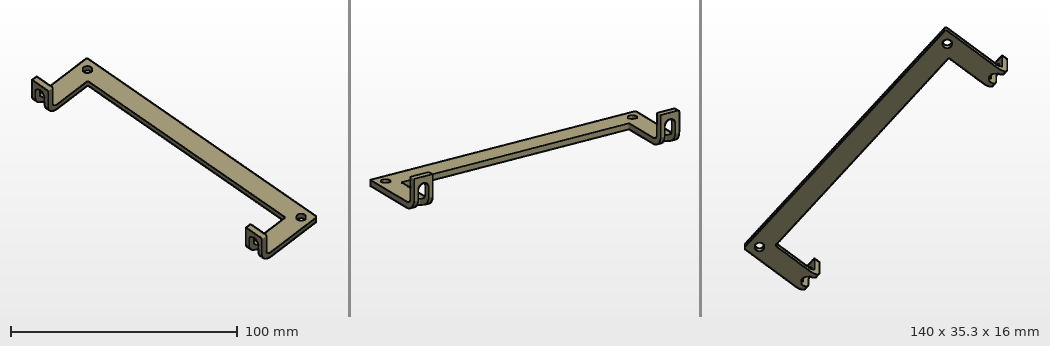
import cadquery as cq

length = 140.0
depth = 35.3
height = 16.0
thickness = 3.0
strip_width = 10.0
bend_inner_radius = 3.0
hole_diameter = 4.2
slot_width = 5.5
slot_top = 12.7
right_corner_radius = 1.0
small_corner_radius = 0.4
inner_corner_radius = 0.5

bend_outer_radius = bend_inner_radius + thickness
half_length = length / 2
arm_center = half_length - strip_width / 2
opening_length = length - 2 * strip_width
bar_front = depth - strip_width
hole_y = depth - strip_width / 2


def bent_sheet():
    """L-shaped sheet spanning the full length, with the lip along y = 0."""
    sheet = (
        cq.Workplane("YZ")
        .moveTo(0, 0)
        .lineTo(depth, 0)
        .lineTo(depth, thickness)
        .lineTo(thickness, thickness)
        .lineTo(thickness, height)
        .lineTo(0, height)
        .close()
        .extrude(half_length, both=True)
    )
    sheet = sheet.edges(cq.NearestToPointSelector((0, 0, 0))).fillet(bend_outer_radius)
    inside_corner = (0, thickness, thickness)
    return sheet.edges(cq.NearestToPointSelector(inside_corner)).fillet(bend_inner_radius)


def opening():
    """Gap between the arms, with rounded corners where they meet the bar."""
    return (
        cq.Workplane("XY")
        .rect(opening_length, 2 * bar_front)
        .extrude(height)
        .edges("|Z and >Y")
        .fillet(inner_corner_radius)
    )


def round_outer_corners(body, side, radius):
    """Round the back corner of the bar and the top corner of the lip on one end."""
    back_corner = (side * half_length, depth, thickness / 2)
    lip_corner = (side * half_length, thickness / 2, height)
    for corner in (back_corner, lip_corner):
        body = body.edges(cq.NearestToPointSelector(corner)).fillet(radius)
    return body


def round_inner_lip_corners(body):
    """Round the top corners of the lips that face the opening."""
    for side in (-1, 1):
        corner = (side * opening_length / 2, thickness / 2, height)
        body = body.edges(cq.NearestToPointSelector(corner)).fillet(small_corner_radius)
    return body


def slot_cutter(x):
    """Slot running down the lip and through the bend, round at both ends."""
    radius = slot_width / 2
    arch_z = slot_top - radius
    upright = (
        cq.Workplane("XZ", origin=(x, thickness, 0))
        .moveTo(-radius, thickness)
        .lineTo(-radius, arch_z)
        .threePointArc((0, slot_top), (radius, arch_z))
        .lineTo(radius, thickness)
        .close()
        .extrude(thickness)
    )
    floor_end = (
        cq.Workplane("XY", origin=(x, 0, 0))
        .moveTo(-radius, 0)
        .lineTo(-radius, thickness)
        .threePointArc((0, thickness + radius), (radius, thickness))
        .lineTo(radius, 0)
        .close()
        .extrude(bend_outer_radius)
    )
    return upright.union(floor_end)


result = bent_sheet().cut(opening())
result = round_outer_corners(result, -1, small_corner_radius)
result = round_outer_corners(result, 1, right_corner_radius)
result = round_inner_lip_corners(result)

for x in (-arm_center, arm_center):
    hole = cq.Workplane("XY").center(x, hole_y).circle(hole_diameter / 2).extrude(thickness)
    result = result.cut(hole).cut(slot_cutter(x))